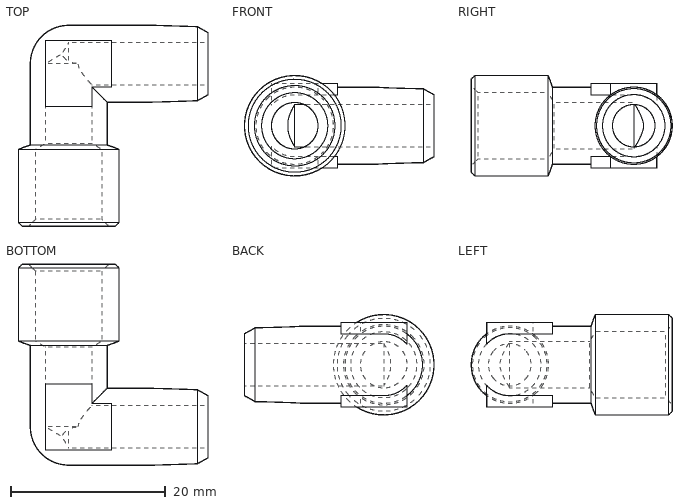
import cadquery as cq
import math

tube_radius = 5.0
tube_length = 10.5

male_end = 18.0
male_chamfer_start = 16.62
taper_on_diameter = 1 / 16
male_taper_radius = tube_radius - (male_chamfer_start - tube_length) * taper_on_diameter / 2
male_tip_radius = 4.03

collar_end = 21.02
collar_radius = 6.5
collar_chamfer = 0.5
collar_shoulder_drop = 0.55
shoulder_break_radius = 5.72
shoulder_break_drop = 0.23

socket_radius = 8.55 / 2
socket_mouth_radius = 5.2
socket_mouth_depth = socket_mouth_radius - socket_radius
socket_floor = 11.05
drill_angle = 118.0
female_passage_radius = 6.0 / 2
male_passage_radius = 5.5 / 2

pad_outer = 3.0
pad_reach = 5.55
pad_half_height = 5.5


def drill_point_depth(radius_drop):
    return radius_drop / math.tan(math.radians(drill_angle / 2))


def revolve_about_x(profile):
    """Turn (distance along X, radius) points around the X axis."""
    return cq.Workplane("XY").polyline(profile).close().revolve(360, (0, 0, 0), (1, 0, 0))


def revolve_about_y(profile):
    """Turn (distance along -Y, radius) points around the Y axis."""
    points = [(radius, -distance) for distance, radius in profile]
    return cq.Workplane("XY").polyline(points).close().revolve(360, (0, 0, 0), (0, 1, 0))


def make_male_arm():
    return revolve_about_x([
        (0, 0),
        (0, tube_radius),
        (tube_length, tube_radius),
        (male_chamfer_start, male_taper_radius),
        (male_end, male_tip_radius),
        (male_end, 0),
    ])


def make_female_arm():
    return revolve_about_y([
        (0, 0),
        (0, tube_radius),
        (tube_length, tube_radius),
        (tube_length + shoulder_break_drop, shoulder_break_radius),
        (tube_length + collar_shoulder_drop, collar_radius),
        (collar_end - collar_chamfer, collar_radius),
        (collar_end, collar_radius - collar_chamfer),
        (collar_end, 0),
    ])


def make_wrench_pad():
    outline = [
        (-pad_outer, pad_outer),
        (pad_reach, pad_outer),
        (pad_reach, -pad_outer),
        (pad_outer, -pad_outer),
        (pad_outer, -pad_reach),
        (-pad_outer, -pad_reach),
    ]
    return cq.Workplane("XY").polyline(outline).close().extrude(pad_half_height, both=True)


def make_male_bore():
    return revolve_about_x([
        (-drill_point_depth(male_passage_radius), 0),
        (0, male_passage_radius),
        (male_end, male_passage_radius),
        (male_end, 0),
    ])


def make_female_bore():
    socket_cone_end = socket_floor - drill_point_depth(socket_radius - female_passage_radius)
    return revolve_about_y([
        (-drill_point_depth(female_passage_radius), 0),
        (0, female_passage_radius),
        (socket_cone_end, female_passage_radius),
        (socket_floor, socket_radius),
        (collar_end - socket_mouth_depth, socket_radius),
        (collar_end, socket_mouth_radius),
        (collar_end, 0),
    ])


corner = cq.Workplane("XY").sphere(tube_radius)
body = make_male_arm().union(make_female_arm()).union(corner).union(make_wrench_pad())
result = body.cut(make_male_bore()).cut(make_female_bore())